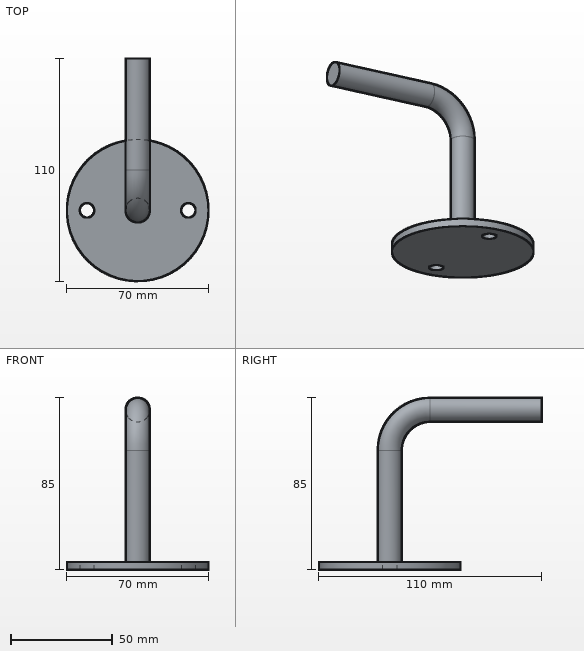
import cadquery as cq

plate_diameter = 70.0
plate_thickness = 4.0
hole_diameter = 7.0
hole_spacing = 50.0

rod_diameter = 12.0
bend_radius = 20.0
upright_length = 55.0
level_length = 55.0


def make_plate():
    """Round plate on the XY plane with two through holes along X."""
    plate = cq.Workplane("XY").circle(plate_diameter / 2).extrude(plate_thickness)
    return (
        plate.faces(">Z")
        .workplane()
        .pushPoints([(-hole_spacing / 2, 0), (hole_spacing / 2, 0)])
        .hole(hole_diameter)
    )


def make_rod():
    """Round rod swept along its centre line in the YZ plane, starting on the plate."""
    bend_start_z = plate_thickness + upright_length
    level_z = bend_start_z + bend_radius
    centre_line = (
        cq.Workplane("YZ")
        .moveTo(0, plate_thickness)
        .lineTo(0, bend_start_z)
        .tangentArcPoint((bend_radius, level_z), relative=False)
        .lineTo(bend_radius + level_length, level_z)
    )
    profile = cq.Workplane("XY").workplane(offset=plate_thickness).circle(rod_diameter / 2)
    return profile.sweep(centre_line)


result = make_plate().union(make_rod())